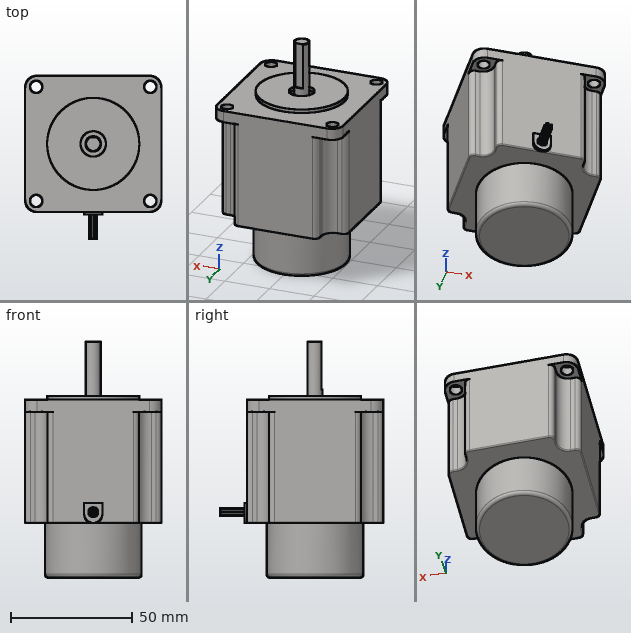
import cadquery as cq

cap_height = 22.6
motor_length = 51.0
flange_thickness = 5.0
pilot_height = 1.6
shaft_projection = 24.0

body_bottom = cap_height
flange_top = body_bottom + motor_length
flange_bottom = flange_top - flange_thickness
pilot_top = flange_top + pilot_height
shaft_top = flange_top + shaft_projection

frame_width = 56.4
frame_half = frame_width / 2
flange_corner_radius = 5.0
mount_hole_diameter = 5.0
mount_hole_spacing = 47.14

relief_size = 9.2
relief_inner_radius = 5.0
relief_outer_radius = 2.3
body_edge_radius = 0.5

cap_diameter = 40.0
cap_edge_radius = 1.5

pilot_diameter = 38.1
recess_diameter = 10.5
recess_depth = 1.6
shaft_diameter = 6.35
shaft_tip_chamfer = 0.2
shaft_flat_thickness = 5.9
shaft_flat_length = 19.8

outlet_width = 7.5
outlet_height = 8.4
outlet_thickness = 1.0
outlet_hole_diameter = 4.01
outlet_hole_height = 4.56
outlet_round_radius = outlet_width / 2
outlet_hole_z = body_bottom + outlet_hole_height

wire_diameter = 1.01
wire_projection = 10.0
wire_length = outlet_thickness + wire_projection
ring_wire_count = 5
wire_ring_radius = 1.25
wire_ring_start_angle = 38.0


def make_cylinder(diameter, bottom, top):
    """Upright cylinder on the motor axis."""
    return cq.Workplane("XY").workplane(offset=bottom).circle(diameter / 2).extrude(top - bottom)


def make_body():
    """Square body with a rounded L-shaped relief along each vertical corner."""
    height = flange_bottom - body_bottom
    arm_width = frame_width - 2 * relief_size
    base = cq.Workplane("XY").workplane(offset=body_bottom)
    arm_along_x = base.rect(frame_width, arm_width).extrude(height)
    arm_along_y = base.rect(arm_width, frame_width).extrude(height)

    arm_along_x = arm_along_x.edges("|Z").fillet(relief_outer_radius)
    arm_along_y = arm_along_y.edges("|Z").fillet(relief_outer_radius)
    body = arm_along_x.union(arm_along_y)

    core_half = arm_width / 2 + relief_outer_radius
    core = cq.selectors.BoxSelector(
        (-core_half, -core_half, body_bottom), (core_half, core_half, flange_bottom)
    )
    body = body.edges("|Z").edges(core).fillet(relief_inner_radius)
    return body.faces("<Z").edges().fillet(body_edge_radius)


def make_flange():
    """Square mounting flange with rounded corners and four through holes."""
    flange = (
        cq.Workplane("XY")
        .workplane(offset=flange_bottom)
        .rect(frame_width, frame_width)
        .extrude(flange_thickness)
        .edges("|Z")
        .fillet(flange_corner_radius)
    )
    return (
        flange.faces(">Z")
        .workplane()
        .rect(mount_hole_spacing, mount_hole_spacing, forConstruction=True)
        .vertices()
        .hole(mount_hole_diameter)
    )


def make_rear_cap():
    """Round cap under the body with a rounded lower rim."""
    return make_cylinder(cap_diameter, 0, body_bottom).faces("<Z").edges().fillet(cap_edge_radius)


def make_pilot():
    """Locating boss on the flange with a round recess for the shaft."""
    pilot = make_cylinder(pilot_diameter, flange_top, pilot_top)
    return pilot.cut(make_cylinder(recess_diameter, pilot_top - recess_depth, pilot_top))


def make_shaft():
    """Output shaft with a flat on its +Y side and a chamfered tip."""
    shaft = make_cylinder(shaft_diameter, pilot_top - recess_depth, shaft_top)
    shaft = shaft.faces(">Z").edges().chamfer(shaft_tip_chamfer)
    flat_y = shaft_flat_thickness - shaft_diameter / 2
    flat_cutter = cq.Workplane("XY").box(
        shaft_diameter, shaft_diameter, shaft_flat_length, centered=(True, False, False)
    )
    return shaft.cut(flat_cutter.translate((0, flat_y, shaft_top - shaft_flat_length)))


def make_outlet_plate():
    """Plate on the -Y face: square top, half-round bottom, round cable hole."""
    round_z = body_bottom + outlet_round_radius
    plate_top = body_bottom + outlet_height
    return (
        cq.Workplane("XZ", origin=(0, -frame_half, 0))
        .moveTo(-outlet_round_radius, plate_top)
        .lineTo(-outlet_round_radius, round_z)
        .threePointArc((0, body_bottom), (outlet_round_radius, round_z))
        .lineTo(outlet_round_radius, plate_top)
        .close()
        .moveTo(0, outlet_hole_z)
        .circle(outlet_hole_diameter / 2)
        .extrude(outlet_thickness)
    )


def make_wires():
    """Wire bundle leaving the body through the outlet hole."""
    outlet = cq.Workplane("XZ", origin=(0, -frame_half, outlet_hole_z))
    center_wire = outlet.circle(wire_diameter / 2).extrude(wire_length)
    ring_wires = (
        outlet.polarArray(wire_ring_radius, wire_ring_start_angle, 360, ring_wire_count)
        .circle(wire_diameter / 2)
        .extrude(wire_length)
    )
    return center_wire.union(ring_wires)


result = (
    make_body()
    .union(make_flange())
    .union(make_rear_cap())
    .union(make_pilot())
    .union(make_shaft())
    .union(make_outlet_plate())
    .union(make_wires())
)